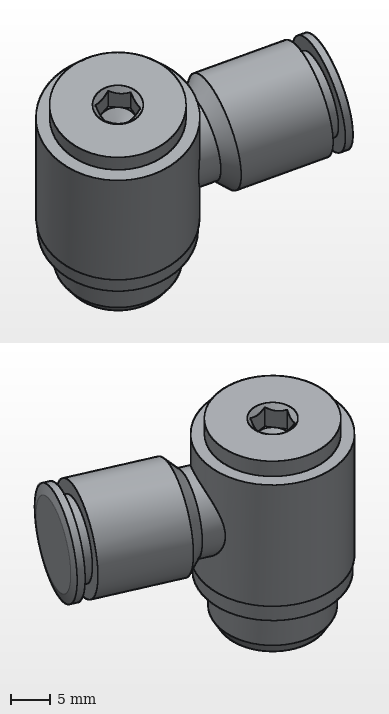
import cadquery as cq
import math

body_diameter = 21.0
cap_diameter = 17.5
seal_diameter = 20.6
spigot_diameter = 16.6
spigot_tip_diameter = 14.62
total_height = 32.5
cap_height = 2.5
seal_bottom = 7.5
seal_top = 10.0
tip_height = 1.8

arm_height = 20.0
arm_diameter = 16.0
neck_diameter = 12.0
groove_diameter = 11.85
total_length = 40.4
collar_length = 1.45
collar_bevel_length = 0.35
collar_face_diameter = 13.0
groove_end = 3.2
barrel_end = 16.2
cone_end = 18.15

socket_across_flats = 5.0
socket_mouth_diameter = 6.5
socket_depth = 3.5
drill_point_angle = 120.0

arm_end = total_length - body_diameter / 2


def make_body():
    """Stepped upright body revolved about Z."""
    body_radius = body_diameter / 2
    cap_radius = cap_diameter / 2
    seal_radius = seal_diameter / 2
    spigot_radius = spigot_diameter / 2
    shoulder = total_height - cap_height
    profile = [
        (0, 0),
        (spigot_tip_diameter / 2, 0),
        (spigot_radius, tip_height),
        (spigot_radius, seal_bottom),
        (seal_radius, seal_bottom),
        (seal_radius, seal_top),
        (body_radius, seal_top),
        (body_radius, shoulder),
        (cap_radius, shoulder),
        (cap_radius, total_height),
        (0, total_height),
    ]
    return cq.Workplane("XZ").polyline(profile).close().revolve(360, (0, 0), (0, 1))


def make_arm():
    """Stepped tube connector revolved about its own axis along Y."""
    arm_radius = arm_diameter / 2
    neck_radius = neck_diameter / 2
    groove_radius = groove_diameter / 2
    profile = [
        (0, 0),
        (neck_radius, 0),
        (neck_radius, arm_end - cone_end),
        (arm_radius, arm_end - barrel_end),
        (arm_radius, arm_end - groove_end),
        (groove_radius, arm_end - groove_end),
        (groove_radius, arm_end - collar_length),
        (arm_radius, arm_end - collar_length),
        (arm_radius, arm_end - collar_bevel_length),
        (collar_face_diameter / 2, arm_end),
        (0, arm_end),
    ]
    arm = cq.Workplane("XY").polyline(profile).close().revolve(360, (0, 0), (0, 1))
    return arm.translate((0, 0, arm_height))


def make_socket():
    """Hexagonal recess with a 45 degree countersunk mouth and a conical floor."""
    flat_radius = socket_across_flats / 2
    mouth_radius = socket_mouth_diameter / 2
    floor = total_height - socket_depth
    point_depth = flat_radius / math.tan(math.radians(drill_point_angle / 2))
    corner_diameter = socket_across_flats / math.cos(math.pi / 6)
    hexagon = (
        cq.Workplane("XY").workplane(offset=floor)
        .polygon(6, corner_diameter).extrude(socket_depth)
    )
    mouth = cq.Solid.makeCone(
        mouth_radius, 0, mouth_radius, cq.Vector(0, 0, total_height), cq.Vector(0, 0, -1)
    )
    point = cq.Solid.makeCone(
        flat_radius, 0, point_depth, cq.Vector(0, 0, floor), cq.Vector(0, 0, -1)
    )
    return hexagon.union(cq.Workplane(mouth)).union(cq.Workplane(point))


result = make_body().union(make_arm()).cut(make_socket())